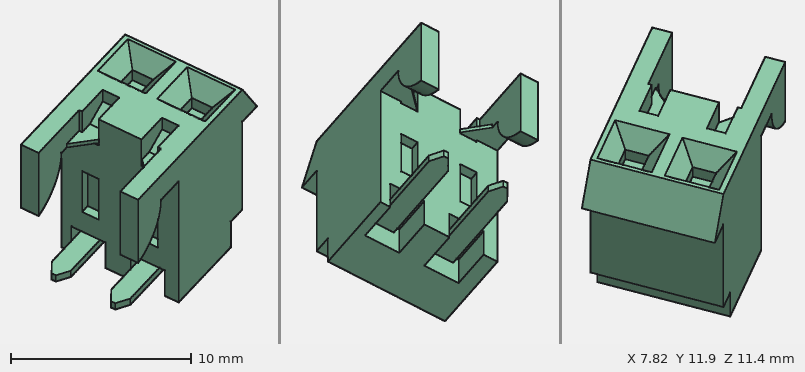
import cadquery as cq


width = 7.82
height = 11.4
overall_length = 11.89
body_depth = 6.375
arm_length = 4.05
lip_overhang = overall_length - body_depth - arm_length
lip_z = 8.875
step_depth = 1.14
step_height = 2.0

arm_thickness = 1.18
arm_underside_z = 9.5
hook_start_y = -1.76
hook_radius = 3.18
hook_tip_z = 6.45

pitch = 3.96
way_positions = (-pitch / 2, pitch / 2)
port_width = 3.2
port_length = 3.0
port_center_y = 4.65
port_inset = 0.91
funnel_depth = 1.16
well_depth = 0.8

slot_width = 1.1
slot_depth = 2.055
ramp_top_z = 10.49
ramp_bottom_z = 9.35
window_bottom_z = 3.54
window_height = 3.19
window_depth = 0.56

gusset_leg = 1.24
gusset_bottom_z = arm_underside_z
gusset_thickness = 0.28

pocket_width = 2.28
pocket_offset_x = -0.14
pocket_depth = 2.5
pin_width = 1.28
pin_tip_width = 0.3
pin_thickness = 0.5
pin_length = 3.67
pin_taper_length = 0.77


def box(x_min, y_min, z_min, x_size, y_size, z_size):
    """Box placed by its lowest corner."""
    return cq.Workplane("XY").box(x_size, y_size, z_size, centered=False).translate((x_min, y_min, z_min))


def extrude_side_profile(profile, center_x, x_size):
    """Extrude a closed YZ profile evenly about a given X position."""
    return profile.extrude(x_size / 2, both=True).translate((center_x, 0, 0))


def make_housing():
    back_lower_y = body_depth - step_depth
    profile = (
        cq.Workplane("YZ")
        .moveTo(0, 0)
        .lineTo(back_lower_y, 0)
        .lineTo(back_lower_y, step_height)
        .lineTo(body_depth, step_height)
        .lineTo(body_depth, lip_z)
        .lineTo(body_depth + lip_overhang, lip_z)
        .lineTo(body_depth, height)
        .lineTo(-arm_length, height)
        .lineTo(-arm_length, hook_tip_z)
        .radiusArc((hook_start_y, arm_underside_z), -hook_radius)
        .lineTo(0, arm_underside_z)
        .close()
    )
    housing = extrude_side_profile(profile, 0, width)
    arm_gap = width - 2 * arm_thickness
    return housing.cut(box(-arm_gap / 2, -arm_length, 0, arm_gap, arm_length, height))


def make_port(center_x):
    well_width = port_width - 2 * port_inset
    well_length = port_length - 2 * port_inset
    well_top_z = height - funnel_depth
    funnel = (
        cq.Workplane("XY")
        .rect(port_width, port_length)
        .workplane(offset=-funnel_depth)
        .rect(well_width, well_length)
        .loft(ruled=True)
        .translate((center_x, port_center_y, height))
    )
    well = box(
        center_x - well_width / 2,
        port_center_y - well_length / 2,
        well_top_z - well_depth,
        well_width,
        well_length,
        well_depth,
    )
    return funnel.union(well)


def make_slot(center_x):
    profile = (
        cq.Workplane("YZ")
        .moveTo(0, ramp_bottom_z)
        .lineTo(slot_depth, ramp_top_z)
        .lineTo(slot_depth, height)
        .lineTo(0, height)
        .close()
    )
    return extrude_side_profile(profile, center_x, slot_width)


def make_window(center_x):
    return box(center_x - slot_width / 2, 0, window_bottom_z, slot_width, window_depth, window_height)


def make_pocket(center_x):
    left_x = center_x + pocket_offset_x - pocket_width / 2
    return box(left_x, 0, 0, pocket_width, pocket_depth, step_height)


def make_gusset(side):
    """Plate in the corner of body and arm, its 45-degree edge running on into the slot; side is -1 or 1."""
    arm_inner_x = width / 2 - arm_thickness
    slot_inner_x = pitch / 2 - slot_width / 2
    slot_outer_x = slot_inner_x + slot_width
    edge_end_y = arm_inner_x - slot_inner_x - gusset_leg
    return (
        cq.Workplane("XY")
        .workplane(offset=gusset_bottom_z)
        .moveTo(side * arm_inner_x, 0)
        .lineTo(side * arm_inner_x, -gusset_leg)
        .lineTo(side * slot_inner_x, edge_end_y)
        .lineTo(side * slot_inner_x, slot_depth)
        .lineTo(side * slot_outer_x, slot_depth)
        .lineTo(side * slot_outer_x, 0)
        .close()
        .extrude(gusset_thickness)
    )


def make_pin(center_x):
    half_width = pin_width / 2
    half_tip = pin_tip_width / 2
    taper_y = pin_taper_length - pin_length
    return (
        cq.Workplane("XY")
        .moveTo(-half_width, pocket_depth)
        .lineTo(-half_width, taper_y)
        .lineTo(-half_tip, -pin_length)
        .lineTo(half_tip, -pin_length)
        .lineTo(half_width, taper_y)
        .lineTo(half_width, pocket_depth)
        .close()
        .extrude(pin_thickness)
        .translate((center_x, 0, step_height - pin_thickness))
    )


result = make_housing()
for way_x in way_positions:
    for make_cutout in (make_port, make_slot, make_window, make_pocket):
        result = result.cut(make_cutout(way_x))
    result = result.union(make_pin(way_x))
for arm_side in (-1, 1):
    result = result.union(make_gusset(arm_side))